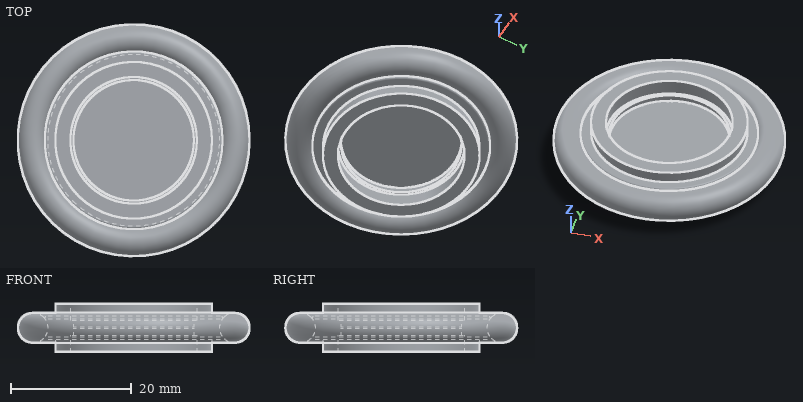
import cadquery as cq

overall_diameter = 38.5
cord_diameter = 5.0
cord_radius = cord_diameter / 2
cord_center_radius = overall_diameter / 2 - cord_radius

carrier_height = 8.0
spigot_diameter = 26.0
flange_diameter = 29.5
flange_thickness = 3.9
flange_edge_radius = 0.36

bore_diameter = 21.0
recess_diameter = 20.0
ledge_thickness = 2.5
web_thickness = 0.2


def make_disc(diameter, height):
    """Solid cylinder on the Z axis, centred on the mid-plane."""
    return cq.Workplane("XY").circle(diameter / 2).extrude(height / 2, both=True)


def make_sealing_ring():
    """Round-section ring centred on the mid-plane."""
    torus = cq.Solid.makeTorus(cord_center_radius, cord_radius)
    return cq.Workplane("XY").newObject([torus])


def make_pockets():
    """Bore and narrower recess from each face, stopping at the central web."""
    bores = make_disc(bore_diameter, carrier_height).cut(make_disc(bore_diameter, ledge_thickness))
    recesses = make_disc(recess_diameter, carrier_height).cut(make_disc(recess_diameter, web_thickness))
    return bores.union(recesses)


def make_carrier(groove_shape):
    """Flanged disc whose rim groove fits the sealing ring."""
    spigots = make_disc(spigot_diameter, carrier_height)
    flange = make_disc(flange_diameter, flange_thickness).faces("|Z").edges().fillet(flange_edge_radius)
    return spigots.union(flange).cut(make_pockets()).cut(groove_shape)


sealing_ring = make_sealing_ring()
carrier = make_carrier(sealing_ring)

result = cq.Compound.makeCompound([carrier.solids().val(), sealing_ring.val()])